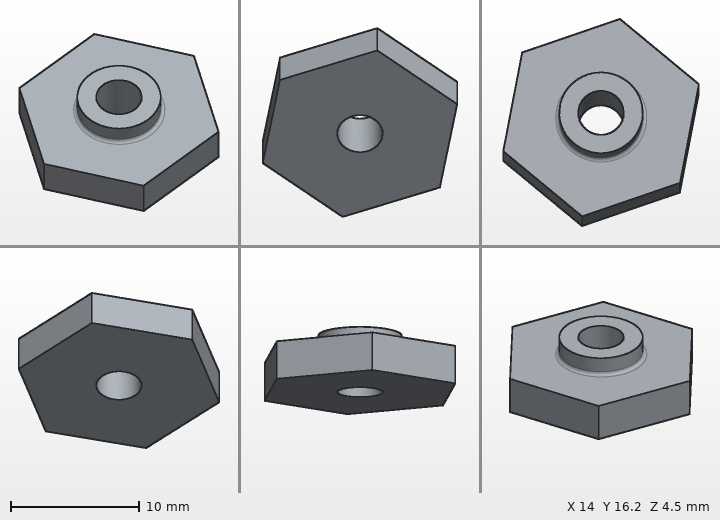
import cadquery as cq
import math

ACROSS_FLATS = 14.0
HEX_HEIGHT = 3.0
BOSS_DIAMETER = 6.5
BOSS_HEIGHT = 1.5
HOLE_DIAMETER = 3.53
BOSS_FILLET = 0.3

HEX_SIDES = 6
ACROSS_CORNERS = ACROSS_FLATS / math.cos(math.pi / HEX_SIDES)
TURN_TO_CORNER_ON_Y = 90
TOTAL_HEIGHT = HEX_HEIGHT + BOSS_HEIGHT


def make_hex_base():
    """Hexagonal plate with flats facing +X and -X and corners on the Y axis."""
    plate = cq.Workplane("XY").polygon(HEX_SIDES, ACROSS_CORNERS).extrude(HEX_HEIGHT)
    return plate.rotate((0, 0, 0), (0, 0, 1), TURN_TO_CORNER_ON_Y)


def make_boss():
    """Round boss on top of the plate, flared by a concave fillet at its foot."""
    boss_radius = BOSS_DIAMETER / 2
    foot_radius = boss_radius + BOSS_FILLET
    fillet_middle = BOSS_FILLET * (1 - math.sqrt(0.5))
    profile = (
        cq.Workplane("XZ")
        .moveTo(0, HEX_HEIGHT)
        .lineTo(foot_radius, HEX_HEIGHT)
        .threePointArc(
            (boss_radius + fillet_middle, HEX_HEIGHT + fillet_middle),
            (boss_radius, HEX_HEIGHT + BOSS_FILLET),
        )
        .lineTo(boss_radius, TOTAL_HEIGHT)
        .lineTo(0, TOTAL_HEIGHT)
        .close()
    )
    return profile.revolve(360, (0, 0, 0), (0, 1, 0))


def make_hole():
    """Bore along the axis through the boss and the plate."""
    return cq.Workplane("XY").circle(HOLE_DIAMETER / 2).extrude(TOTAL_HEIGHT)


result = make_hex_base().union(make_boss()).cut(make_hole())